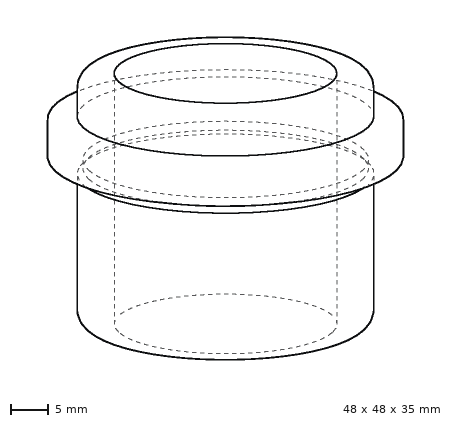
import cadquery as cq

flange_diameter = 48.0
body_diameter = 39.98
bore_diameter = 30.0
total_height = 35.0
flange_height = 6.0
top_collar_height = 6.0
body_end_fillet = 2.0
flange_edge_fillet = 0.5
groove_diameter = 38.5
groove_straight_height = 1.25

flange_radius = flange_diameter / 2
body_radius = body_diameter / 2
groove_radius = groove_diameter / 2
groove_depth = body_radius - groove_radius
flange_top = total_height - top_collar_height
flange_bottom = flange_top - flange_height
groove_straight_bottom = flange_bottom - groove_straight_height
groove_bottom = groove_straight_bottom - groove_depth


def make_body():
    """Plain cylinder with rounded outer rims."""
    cylinder = cq.Workplane("XY").circle(body_radius).extrude(total_height)
    return cylinder.faces("<Z or >Z").edges().fillet(body_end_fillet)


def make_groove():
    """Ring that undercuts the body directly below the flange."""
    return (
        cq.Workplane("XZ")
        .moveTo(groove_radius, flange_bottom)
        .lineTo(flange_radius, flange_bottom)
        .lineTo(flange_radius, groove_bottom)
        .lineTo(body_radius, groove_bottom)
        .lineTo(groove_radius, groove_straight_bottom)
        .close()
        .revolve(360, (0, 0, 0), (0, 1, 0))
    )


def make_flange():
    """Locating flange with softened rims."""
    disc = cq.Workplane("XY").workplane(offset=flange_bottom).circle(flange_radius).extrude(flange_height)
    return disc.faces("<Z or >Z").edges().fillet(flange_edge_fillet)


def make_bore():
    """Through hole along the axis."""
    return cq.Workplane("XY").circle(bore_diameter / 2).extrude(total_height)


result = make_body().cut(make_groove()).union(make_flange()).cut(make_bore())